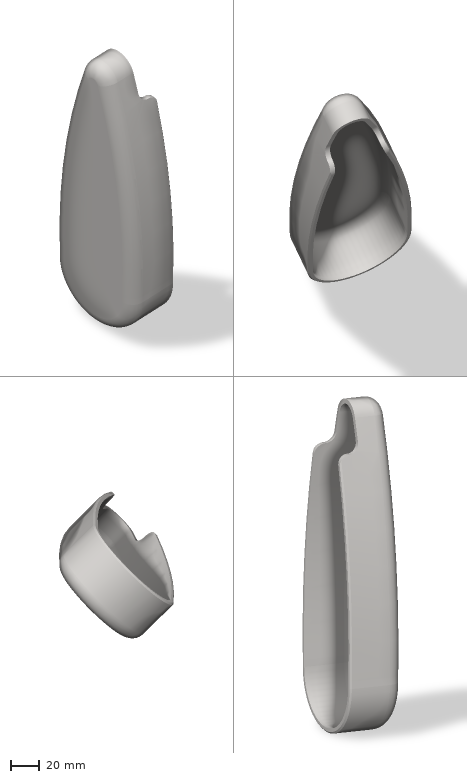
import cadquery as cq
import math

height = 240.0
half_width = 80.5 / 2
depth = 41.0
tip_radius = 15.0
base_radius = 39.8
widest_z = 64.8

wall = 3.5
front_fillet = 10.0
rim_chamfer = 1.2

step_y = 25.5
step_floor_z = 205.0
step_radius = (depth - step_y) / 2

tip_center_z = height - tip_radius
rise = tip_center_z - widest_z
flank_radius = (rise**2 + half_width**2 - tip_radius**2) / (2 * (half_width - tip_radius))
flank_center_x = half_width - flank_radius


def flank_point(angle):
    x = flank_center_x + flank_radius * math.cos(angle)
    z = widest_z + flank_radius * math.sin(angle)
    return x, z


def mirrored(point):
    return -point[0], point[1]


def teardrop_body():
    """Solid teardrop extruded from the front face (y = 0) to the back."""
    tip_angle = math.atan2(rise, -flank_center_x)
    base_angle = -math.acos((base_radius - flank_center_x) / flank_radius)
    flank_bottom = flank_point(base_angle)
    flank_middle = flank_point((base_angle + tip_angle) / 2)
    flank_top = flank_point(tip_angle)
    base_side = (base_radius, base_radius)
    return (
        cq.Workplane("XZ")
        .moveTo(*base_side)
        .lineTo(*flank_bottom)
        .threePointArc(flank_middle, flank_top)
        .threePointArc((0, height), mirrored(flank_top))
        .threePointArc(mirrored(flank_middle), mirrored(flank_bottom))
        .lineTo(*mirrored(base_side))
        .threePointArc((0, 0), base_side)
        .close()
        .extrude(-depth)
    )


def step_cutter():
    """S-shaped step: a concave quarter arc running into a convex one."""
    diagonal = step_radius * math.sqrt(0.5)
    middle_y = step_y + step_radius
    concave_center_z = step_floor_z + step_radius
    convex_center_z = step_floor_z - step_radius
    return (
        cq.Workplane("YZ")
        .moveTo(step_y, height)
        .lineTo(step_y, concave_center_z)
        .threePointArc(
            (middle_y - diagonal, concave_center_z - diagonal),
            (middle_y, step_floor_z),
        )
        .threePointArc(
            (middle_y + diagonal, convex_center_z + diagonal),
            (depth, convex_center_z),
        )
        .lineTo(depth, height)
        .close()
        .extrude(half_width, both=True)
    )


body = teardrop_body().faces("<Y").edges().fillet(front_fillet)
cavity = body.cut(body.faces(">Y").shell(-wall, kind="intersection"))
body = body.faces(">Y").edges().chamfer(rim_chamfer)

result = body.cut(cavity).cut(step_cutter())